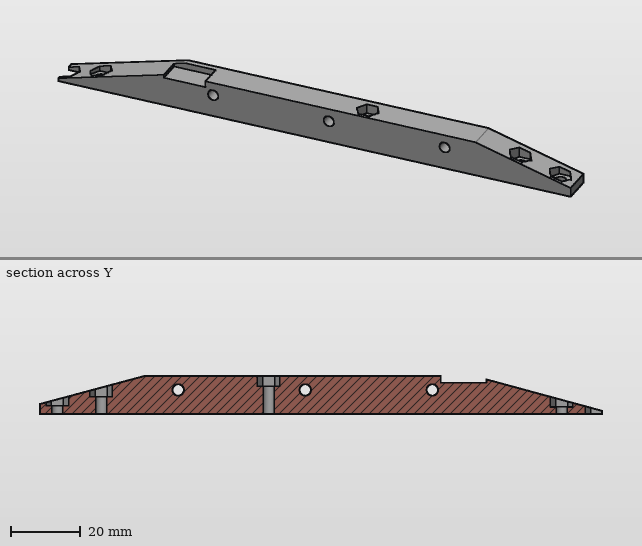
import cadquery as cq
import math

length = 161.2
width = 9.0
height = 11.0

right_slope_angle = 15.0
left_crease_x = 36.8
left_height = 1.0
right_crease_x = 131.2

screw_diameter = 3.2
screw_y = 4.0
screw_holes = [(11.6, 2.1), (95.6, 8.0), (143.6, 5.0), (156.2, 2.4)]
nut_flats = 6.0
nut_corners = nut_flats / math.cos(math.radians(30))

notch_center_x = 1.6

cross_diameter = 3.2
cross_z = 7.0
cross_middle_x = 85.1
cross_spacing = 36.5

pocket_start_x = 33.2
pocket_end_x = 46.3
pocket_back_wall = 2.0
pocket_depth = 2.0


def make_bar():
    """Straight bar whose top slopes down towards both ends."""
    slope = math.tan(math.radians(right_slope_angle))
    right_height = height - (length - right_crease_x) * slope
    outline = [
        (0, 0),
        (length, 0),
        (length, right_height),
        (right_crease_x, height),
        (left_crease_x, height),
        (0, left_height),
    ]
    return cq.Workplane("XZ").polyline(outline).close().extrude(-width)


def make_hexagon(x, bottom_z):
    """Hexagonal cutter with corners along X, rising to the top of the bar."""
    return (
        cq.Workplane("XY", origin=(x, screw_y, bottom_z))
        .polygon(6, nut_corners)
        .extrude(height - bottom_z)
    )


def make_screw_hole(x):
    """Clearance hole through the full height."""
    return cq.Workplane("XY", origin=(x, screw_y, 0)).circle(screw_diameter / 2).extrude(height)


def make_cross_hole(x):
    """Round hole through the full width."""
    return cq.Workplane("XZ", origin=(x, 0, cross_z)).circle(cross_diameter / 2).extrude(-width)


def make_pocket():
    """Rectangular pocket in the top, closed at the back by a thin wall."""
    return cq.Workplane("XY", origin=(pocket_start_x, 0, height - pocket_depth)).box(
        pocket_end_x - pocket_start_x, width - pocket_back_wall, pocket_depth, centered=False
    )


result = make_bar().cut(make_pocket()).cut(make_hexagon(notch_center_x, 0))

for screw_x, recess_floor_z in screw_holes:
    result = result.cut(make_screw_hole(screw_x)).cut(make_hexagon(screw_x, recess_floor_z))

for step in (-1, 0, 1):
    result = result.cut(make_cross_hole(cross_middle_x + step * cross_spacing))